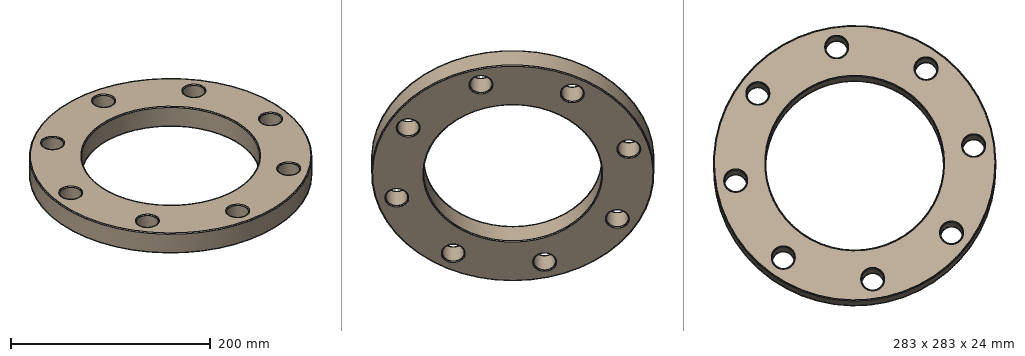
import cadquery as cq

outer_diameter = 283.0
thickness = 24.0
bore_diameter = 178.3

hole_count = 8
hole_diameter = 22.0
bolt_circle_diameter = 241.0

edge_chamfer = 1.0

ring = (
    cq.Workplane("XY")
    .circle(outer_diameter / 2)
    .circle(bore_diameter / 2)
    .extrude(thickness)
)

bolt_holes = (
    cq.Workplane("XY")
    .polarArray(bolt_circle_diameter / 2, 0, 360, hole_count)
    .circle(hole_diameter / 2)
    .extrude(thickness)
)

result = ring.cut(bolt_holes).faces("|Z").edges().chamfer(edge_chamfer)